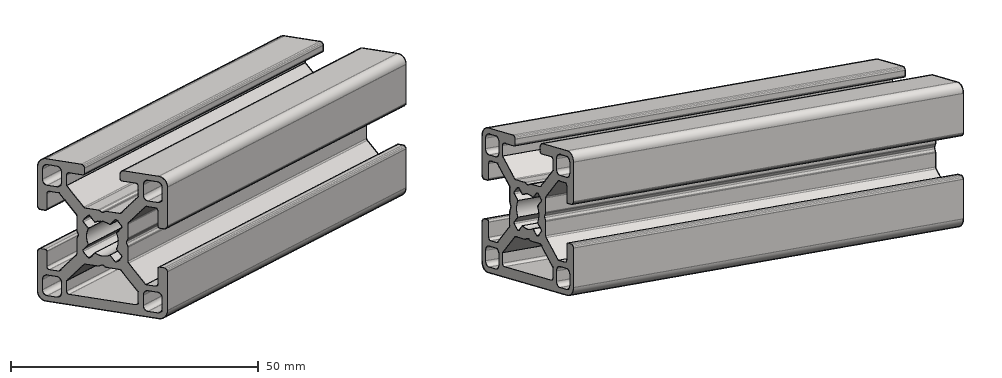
import cadquery as cq
import math


length = 100.0
width = 30.0
half = width / 2
corner_radius = 2.0

lip_thickness = 2.2
slot_opening = 8.2
lip_bevel = 0.5
lip_radius = 0.5
lip_inner_radius = 0.4
slot_inner_width = 16.5
slot_corner_radius = 0.6
core_width = 11.8
web_thickness = 2.5

floor_radius = 0.5

groove_width = 1.7
groove_depth = 0.4

chamber_wall = 1.2
chamber_radius = 1.1

bore_diameter = 7.3
relief_width = 2.1
relief_radius = 0.3
relief_reach = 5.5

web_offset = web_thickness / math.sqrt(2)
slot_outer = half - lip_thickness
slot_half = slot_inner_width / 2
core_half = core_width / 2
chamber_size = half - slot_half - 2 * chamber_wall
chamber_centre = half - chamber_wall - chamber_size / 2


def section_plane():
    """Plane of the profile: local x is X, local y is Z, extruding towards -Y."""
    return cq.Workplane("XZ", origin=(0, length / 2, 0))


def turned(body, angle):
    """Turn the body about the lengthwise Y axis."""
    return body.rotate((0, 0, 0), (0, 1, 0), angle)


def round_edge(body, x, z, radius):
    """Fillet the lengthwise edge that runs through (x, z) of the section."""
    edge = cq.selectors.NearestToPointSelector((x, 0, z))
    return body.edges(edge).fillet(radius)


def slot_cavity():
    """Undercut space between two webs on the +Z side, with the floor groove."""
    floor_half = core_half - web_offset
    cavity = (
        section_plane()
        .polyline([
            (-slot_half, slot_outer),
            (-slot_half, slot_half + web_offset),
            (-floor_half, core_half),
            (-groove_width / 2, core_half),
            (0, core_half - groove_depth),
            (groove_width / 2, core_half),
            (floor_half, core_half),
            (slot_half, slot_half + web_offset),
            (slot_half, slot_outer),
        ])
        .close()
        .extrude(length)
    )
    for side in (-1, 1):
        cavity = round_edge(cavity, side * slot_half, slot_outer, slot_corner_radius)
        cavity = round_edge(cavity, side * floor_half, core_half, floor_radius)
        cavity = round_edge(cavity, side * groove_width / 2, core_half, floor_radius)
    return round_edge(cavity, 0, core_half - groove_depth, floor_radius)


def slot_mouth():
    """Opening between the lips on the +Z side, flared by the bevels of the outer lip corners."""
    mouth_half = slot_opening / 2
    return (
        section_plane()
        .polyline([
            (-mouth_half, slot_outer),
            (-mouth_half, half - lip_bevel),
            (-mouth_half - lip_bevel, half),
            (mouth_half + lip_bevel, half),
            (mouth_half, half - lip_bevel),
            (mouth_half, slot_outer),
        ])
        .close()
        .extrude(length)
    )


def with_open_slot(body):
    """Cut the +Z slot into the body and soften the corners of its lips."""
    body = body.cut(slot_cavity()).cut(slot_mouth())
    for side in (-1, 1):
        lip_end = side * slot_opening / 2
        bevel_end = lip_end + side * lip_bevel
        body = round_edge(body, lip_end, slot_outer, lip_inner_radius)
        body = round_edge(body, lip_end, half - lip_bevel, lip_radius)
        body = round_edge(body, bevel_end, half, lip_radius)
    return body


def bore():
    """Round centre bore joined with the diagonal relief slots."""
    cutter = section_plane().circle(bore_diameter / 2).extrude(length)
    reach = section_plane().circle(relief_reach).extrude(length)
    relief = (
        section_plane()
        .rect(width, relief_width)
        .extrude(length)
        .intersect(reach)
        .edges("|Y")
        .fillet(relief_radius)
    )
    for angle in (45, -45):
        cutter = cutter.union(turned(relief, angle))
    return cutter


def corner_chambers():
    """Four rounded square channels, one in each corner of the section."""
    return (
        section_plane()
        .rect(2 * chamber_centre, 2 * chamber_centre, forConstruction=True)
        .vertices()
        .rect(chamber_size, chamber_size)
        .extrude(length)
        .edges("|Y")
        .fillet(chamber_radius)
    )


profile = section_plane().rect(width, width).extrude(length)
profile = profile.edges("|Y").fillet(corner_radius)

for angle in (-90, 0, 90):
    profile = turned(with_open_slot(turned(profile, -angle)), angle)

profile = profile.cut(turned(slot_cavity(), 180))

result = profile.cut(corner_chambers()).cut(bore())